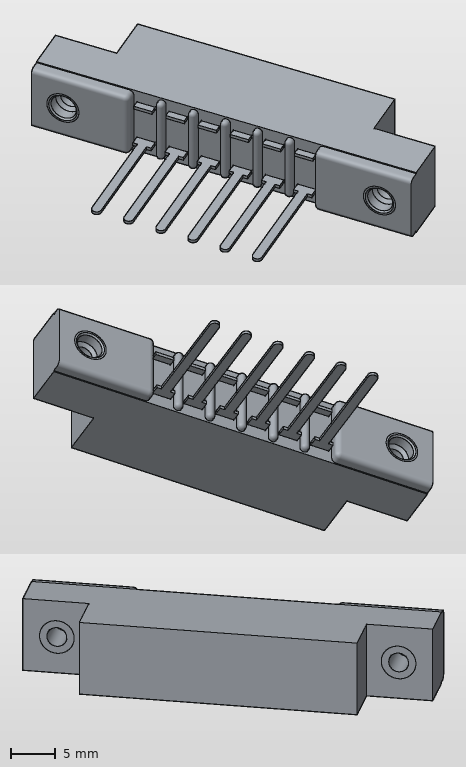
import cadquery as cq

pitch = 3.96
contact_count = 6
overall_length = 46.79
overall_depth = 24.59
housing_height = 8.71

mating_length = 31.7
mating_depth = 5.63
body_depth = 10.73
back_y = overall_depth
shoulder_y = back_y - mating_depth
face_y = back_y - body_depth

end_block_projection = 1.4
end_block_y = face_y - end_block_projection
end_block_step = 0.15
raised_height = housing_height - 2 * end_block_step
end_block_inner_x = 11.4
edge_radius = 0.6
rib_width = 1.0
rib_height = 8.2
rib_projection = 0.84

blade_thickness = 0.4
blade_width = 2.27
blade_offset_z = 2.56
lower_blade_projection = 1.1
upper_blade_projection = 0.84
lower_blade_end_y = face_y - lower_blade_projection
upper_blade_end_y = face_y - upper_blade_projection
tail_width = 1.14
blade_embed = 3.0

mount_span = 39.0
bushing_diameter = 3.95
bushing_bore = 2.26
bushing_mouth = 3.5
bushing_mouth_chamfer = 0.2
bushing_counterbore_depth = 1.45

contact_xs = [(i - (contact_count - 1) / 2) * pitch for i in range(contact_count)]
rib_xs = [(a + b) / 2 for a, b in zip(contact_xs, contact_xs[1:])]
mount_xs = [-mount_span / 2, mount_span / 2]


def block(x_min, x_max, y_min, y_max, z_min, z_max):
    """Box between opposite corner coordinates."""
    size = (x_max - x_min, y_max - y_min, z_max - z_min)
    return cq.Workplane("XY").box(*size, centered=False).translate((x_min, y_min, z_min))


def make_end_block(side):
    """Raised mounting pad at one end: front, top, bottom and inner edges rounded."""
    half_height = raised_height / 2
    pad = block(end_block_inner_x, overall_length / 2, end_block_y, face_y, -half_height, half_height)
    pad = pad.edges("(<Y and (>Z or <Z or <X)) or (<X and (>Z or <Z))").fillet(edge_radius)
    return pad if side > 0 else pad.mirror("YZ")


def make_rib(x):
    """Divider rib between contacts: a slot-shaped post with a rounded nose and ball-shaped ends."""
    rib_radius = rib_width / 2
    nose_y = face_y - rib_projection + rib_radius
    straight_height = rib_height - rib_width
    post = cq.Workplane("XZ", origin=(x, face_y, 0)).slot2D(rib_height, rib_width, 90).extrude(face_y - nose_y)
    nose = cq.Workplane("XY", origin=(x, nose_y, 0)).circle(rib_radius).extrude(straight_height / 2, both=True)
    rib = post.union(nose)
    for end_z in (-straight_height / 2, straight_height / 2):
        rib = rib.union(cq.Workplane("XY", origin=(x, nose_y, end_z)).sphere(rib_radius))
    return rib


def make_contact(x):
    """Hairpin contact: two blades joined inside the housing, the lower one drawn out into a tail."""
    inner_y = face_y + blade_embed
    half_width = blade_width / 2
    half_blade = blade_thickness / 2
    top_z = blade_offset_z + half_blade
    upper = block(
        x - half_width, x + half_width, upper_blade_end_y, inner_y, blade_offset_z - half_blade, top_z
    )
    lower = block(
        x - half_width, x + half_width, lower_blade_end_y, inner_y, -top_z, -blade_offset_z + half_blade
    )
    bridge = block(x - half_width, x + half_width, inner_y - blade_thickness, inner_y, -top_z, top_z)
    tail_radius = tail_width / 2
    tail = (
        cq.Workplane("XY", origin=(x, 0, -top_z))
        .moveTo(-tail_radius, lower_blade_end_y)
        .lineTo(-tail_radius, tail_radius)
        .threePointArc((0, 0), (tail_radius, tail_radius))
        .lineTo(tail_radius, lower_blade_end_y)
        .close()
        .extrude(blade_thickness)
    )
    return upper.union(bridge).union(lower).union(tail)


def make_bushing(x):
    """Through bushing, flush with the ear: chamfered counterbore with a 45 degree floor."""
    half_od = bushing_diameter / 2
    half_bore = bushing_bore / 2
    half_mouth = bushing_mouth / 2
    half_counterbore = half_mouth - bushing_mouth_chamfer
    counterbore_floor_y = end_block_y + bushing_counterbore_depth
    profile = (
        cq.Workplane("XY", origin=(x, 0, 0))
        .moveTo(half_od, end_block_y)
        .lineTo(half_od, shoulder_y)
        .lineTo(half_bore, shoulder_y)
        .lineTo(half_bore, counterbore_floor_y + half_counterbore - half_bore)
        .lineTo(half_counterbore, counterbore_floor_y)
        .lineTo(half_counterbore, end_block_y + bushing_mouth_chamfer)
        .lineTo(half_mouth, end_block_y)
        .close()
    )
    return profile.revolve(360, (0, 0, 0), (0, 1, 0))


def make_housing(embedded_contacts):
    """T-shaped insulator with end pads and ribs, hollowed to fit the contacts and bushings."""
    half_height = housing_height / 2
    half_length = overall_length / 2
    half_mating = mating_length / 2
    housing = block(-half_length, half_length, face_y, shoulder_y, -half_height, half_height)
    housing = housing.union(block(-half_mating, half_mating, shoulder_y, back_y, -half_height, half_height))
    for side in (-1, 1):
        housing = housing.union(make_end_block(side))
    for x in rib_xs:
        housing = housing.union(make_rib(x))
    for x in mount_xs:
        bore = cq.Workplane("XZ", origin=(x, shoulder_y, 0)).circle(bushing_diameter / 2)
        housing = housing.cut(bore.extrude(shoulder_y - end_block_y))
    for contact in embedded_contacts:
        housing = housing.cut(contact)
    return housing


contacts = [make_contact(x) for x in contact_xs]
bushings = [make_bushing(x) for x in mount_xs]
housing = make_housing(contacts)

result = cq.Compound.makeCompound(
    [housing.val(), *[contact.val() for contact in contacts], *[bushing.val() for bushing in bushings]]
)